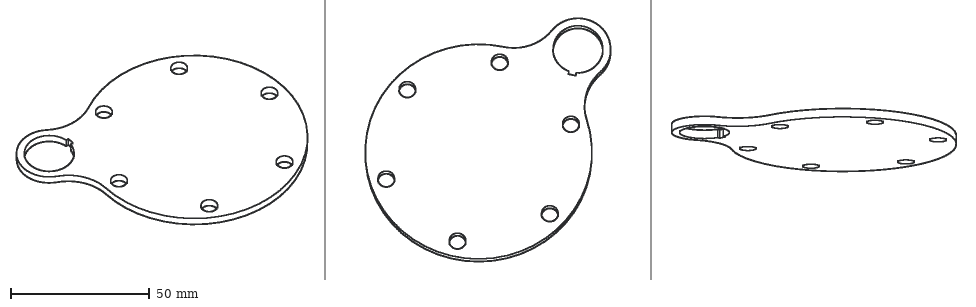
import cadquery as cq
import math

thickness = 3.2
disk_radius = 41.0
bolt_circle_radius = 35.0
bolt_hole_diameter = 6.0
bolt_hole_count = 6
lug_distance = 53.0
lug_angle = 240
lug_radius = 11.9
bore_radius = 9.0
neck_radius = 17.4
key_width = 2.7
key_tip_distance = 10.0


def polar(radius, degrees):
    angle = math.radians(degrees)
    return radius * math.cos(angle), radius * math.sin(angle)


def toward(start, end, distance):
    """Point at the given distance from start along the line to end."""
    fraction = distance / math.dist(start, end)
    return tuple(a + fraction * (b - a) for a, b in zip(start, end))


disk_center = (0, 0)
lug_center = polar(lug_distance, lug_angle)

disk_to_neck = disk_radius + neck_radius
lug_to_neck = lug_radius + neck_radius
neck_spread = math.degrees(math.acos(
    (disk_to_neck**2 + lug_distance**2 - lug_to_neck**2)
    / (2 * disk_to_neck * lug_distance)
))


def neck_points(side):
    """Disk tangent point, arc midpoint and lug tangent point of one neck."""
    center = polar(disk_to_neck, lug_angle + side * neck_spread)
    disk_point = toward(center, disk_center, neck_radius)
    lug_point = toward(center, lug_center, neck_radius)
    chord_middle = tuple((a + b) / 2 for a, b in zip(disk_point, lug_point))
    return disk_point, toward(center, chord_middle, neck_radius), lug_point


left_disk, left_middle, left_lug = neck_points(-1)
right_disk, right_middle, right_lug = neck_points(1)
disk_far_point = polar(disk_radius, lug_angle + 180)
lug_far_point = polar(lug_distance + lug_radius, lug_angle)

plate = (
    cq.Workplane("XY")
    .moveTo(*right_disk)
    .threePointArc(disk_far_point, left_disk)
    .threePointArc(left_middle, left_lug)
    .threePointArc(lug_far_point, right_lug)
    .threePointArc(right_middle, right_disk)
    .close()
    .extrude(thickness)
)

bolt_holes = (
    cq.Workplane("XY")
    .polarArray(bolt_circle_radius, 90, 360, bolt_hole_count)
    .circle(bolt_hole_diameter / 2)
    .extrude(thickness)
)

bore = cq.Workplane("XY").center(*lug_center).circle(bore_radius).extrude(thickness)
keyway = (
    cq.Workplane("XY")
    .center(*lug_center)
    .center(0, key_tip_distance / 2)
    .rect(key_width, key_tip_distance)
    .extrude(thickness)
)

result = plate.cut(bolt_holes).cut(bore).cut(keyway)